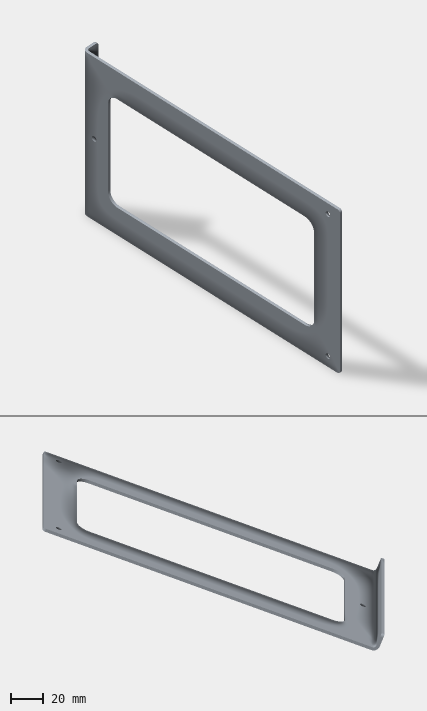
import cadquery as cq

length = 219.0
flange_depth = 12.0
height = 130.0
thickness = 2.0
bend_inner_radius = thickness
bend_outer_radius = bend_inner_radius + thickness
corner_radius = 2.0

window_margin = 22.0
window_corner_radius = 8.0

hole_diameter = 4.0
left_hole_inset = 10.0
right_hole_inset = 10.0
right_hole_edge_distance = 8.5


def make_bent_sheet():
    """L-shaped sheet: front plate along X, flange along +Y at the left end."""
    sheet = (
        cq.Workplane("XY")
        .rect(length, flange_depth, centered=False)
        .extrude(height)
    )
    inside = (
        cq.Workplane("XY")
        .moveTo(thickness, thickness)
        .rect(length, flange_depth, centered=False)
        .extrude(height)
        .edges("|Z and (<X and <Y)")
        .fillet(bend_inner_radius)
    )
    return sheet.edges("|Z and (<X and <Y)").fillet(bend_outer_radius).cut(inside)


def round_free_corners(sheet):
    """Round the corners at the free ends of the plate and the flange."""
    sheet = sheet.faces(">X").edges("|Y").fillet(corner_radius)
    return sheet.faces(">Y").edges("|X").fillet(corner_radius)


def make_window():
    return (
        cq.Workplane("XY")
        .moveTo(window_margin, 0)
        .rect(length - 2 * window_margin, thickness, centered=False)
        .extrude(height - 2 * window_margin)
        .translate((0, 0, window_margin))
        .edges("|Y")
        .fillet(window_corner_radius)
    )


def make_holes():
    right_hole_x = length - right_hole_inset
    centers = [
        (left_hole_inset, height / 2),
        (right_hole_x, right_hole_edge_distance),
        (right_hole_x, height - right_hole_edge_distance),
    ]
    return (
        cq.Workplane("XZ")
        .pushPoints(centers)
        .circle(hole_diameter / 2)
        .extrude(-thickness)
    )


result = round_free_corners(make_bent_sheet()).cut(make_window()).cut(make_holes())